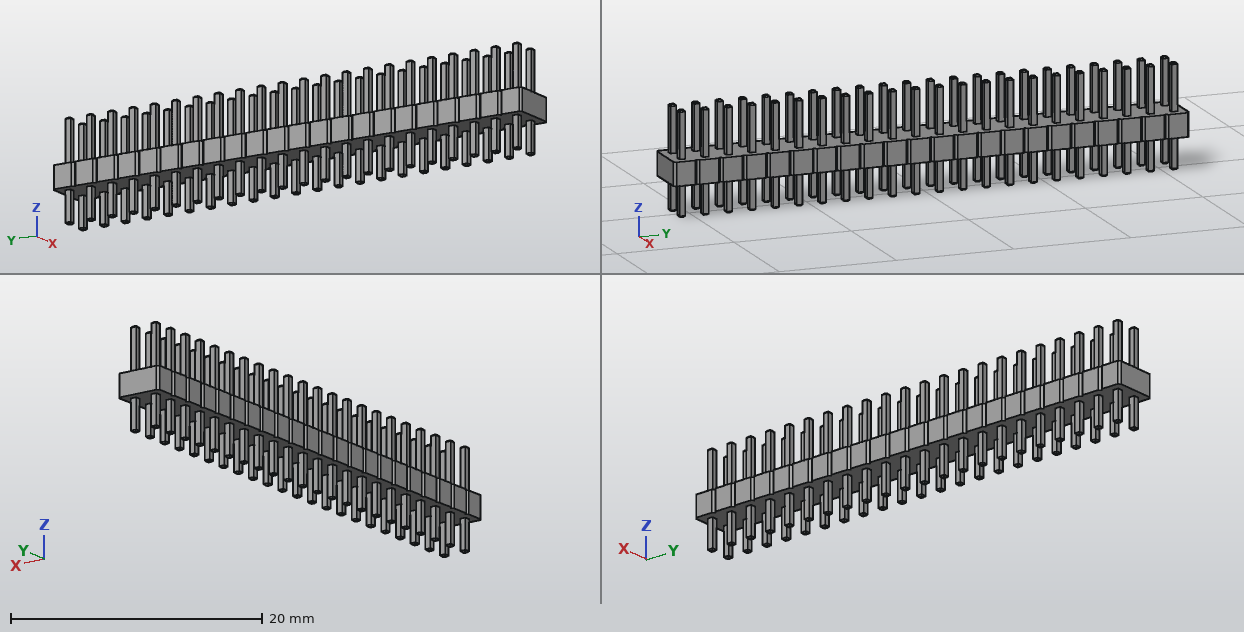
import cadquery as cq

length = 44.0
rows = 22
columns = 2
pin_length = 8.8
pin_above = 4.0
tip_chamfer = 0.125
corner_chamfer = 0.2

pitch = length / rows
housing_width = columns * pitch
housing_height = pitch
pin_width = pitch / 4
pin_below = pin_length - pin_above - housing_height


def centred_positions(count):
    """Coordinates of `count` places one pitch apart, centred on zero."""
    return [(i - (count - 1) / 2) * pitch for i in range(count)]


def housing_outline():
    """Plan outline: one bevelled segment per row, leaving V-notches between rows."""
    outer_x = housing_width / 2
    notch_x = outer_x - corner_chamfer
    half_flat = pitch / 2 - corner_chamfer
    right_side = []
    for y in centred_positions(rows):
        right_side += [
            (notch_x, y - pitch / 2),
            (outer_x, y - half_flat),
            (outer_x, y + half_flat),
        ]
    right_side.append((notch_x, length / 2))
    left_side = [(-x, y) for x, y in reversed(right_side)]
    return right_side + left_side


def make_pin():
    """Square pin on the Z axis, bevelled at both ends."""
    return (
        cq.Workplane("XY")
        .workplane(offset=-pin_below)
        .rect(pin_width, pin_width)
        .extrude(pin_length)
        .faces("<Z or >Z")
        .chamfer(tip_chamfer)
    )


result = cq.Workplane("XY").polyline(housing_outline()).close().extrude(housing_height)

pin = make_pin().val()
pins = [
    pin.translate(cq.Vector(x, y, 0))
    for x in centred_positions(columns)
    for y in centred_positions(rows)
]
result = cq.Workplane(result.val().fuse(*pins))
result = cq.Workplane(result.solids().val())